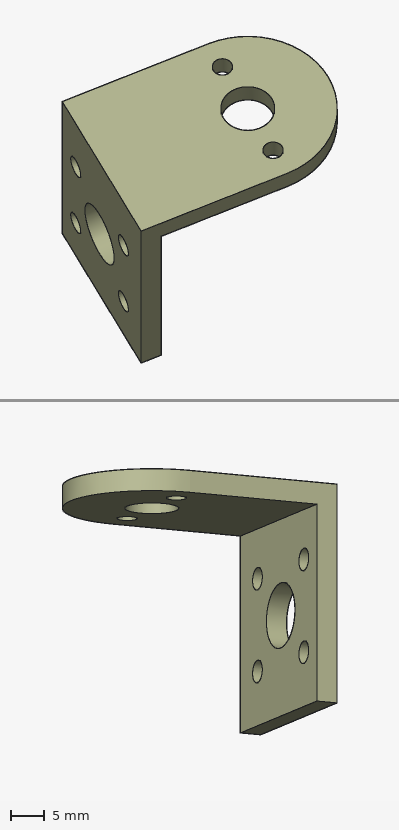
import cadquery as cq

width = 26.5
depth = 37.3
height = 33.0
thickness = 3.32
end_radius = width / 2

shelf_bore = 8.0
shelf_screw_hole = 3.0
shelf_screw_spacing = 17.0

bore_offset_x = -0.7
bore_height = 15.18
wall_bore = 9.8
wall_screw_hole = 3.35
wall_screw_spacing_x = 16.0
wall_screw_spacing_z = 14.0


def make_shelf():
    """Horizontal top plate with a round rear end and three holes."""
    straight_length = depth - end_radius
    plate = (
        cq.Workplane("XY", origin=(0, 0, height - thickness))
        .moveTo(-width / 2, 0)
        .lineTo(width / 2, 0)
        .lineTo(width / 2, straight_length)
        .threePointArc((0, depth), (-width / 2, straight_length))
        .close()
        .extrude(thickness)
    )
    holes = plate.faces(">Z").workplane(origin=(0, straight_length, height))
    return (
        holes.hole(shelf_bore)
        .pushPoints([(-shelf_screw_spacing / 2, 0), (shelf_screw_spacing / 2, 0)])
        .hole(shelf_screw_hole)
    )


def make_wall():
    """Upright front plate with a bore and four surrounding screw holes."""
    plate = cq.Workplane("XY").box(width, thickness, height, centered=(True, False, False))
    holes = plate.faces("<Y").workplane(origin=(bore_offset_x, 0, bore_height))
    return (
        holes.hole(wall_bore)
        .rarray(wall_screw_spacing_x, wall_screw_spacing_z, 2, 2)
        .hole(wall_screw_hole)
    )


result = make_shelf().union(make_wall())